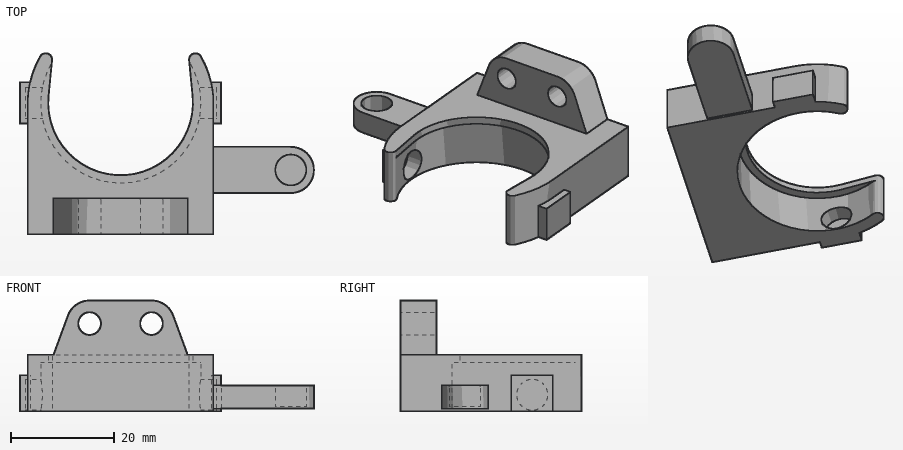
import cadquery as cq
import math

body_width = 36.0
body_height = 11.0
half_width = body_width / 2

bore_center_y = 25.5
lip_radius = 14.0
recess_radius = 15.5
lip_thickness = 1.5
recess_height = body_height - lip_thickness

arm_outer_radius = half_width
tip_angle = math.radians(30)
tip_radius = (arm_outer_radius - recess_radius) / 2
tip_distance = recess_radius + tip_radius

plate_thickness = 7.0
plate_height = 21.5
plate_base_half_width = 13.0
plate_corner_radius = 4.5
plate_hole_diameter = 4.35
plate_hole_x = 6.0
plate_hole_z = plate_height - plate_corner_radius

pocket_diameter = 6.0

pad_length = 8.0
pad_height = 7.0
pad_projection = 1.5
pad_outer_x = half_width + pad_projection
pad_pocket_depth = 3.0
pad_pocket_center_z = 3.25

lug_width = 9.0
lug_thickness = 4.5
lug_bottom_z = 0.5
lug_center_x = half_width + 15.0
lug_center_y = 12.5
lug_pocket_depth = 4.0


def polar(center, radius, angle):
    return (center[0] + radius * math.cos(angle), center[1] + radius * math.sin(angle))


def mirrored(point):
    return (-point[0], point[1])


def clip_layer(inner_radius, bottom_z, thickness):
    """Body outline with a bore of the given radius, joined tangentially to the arm tips."""
    bore_center = (0, bore_center_y)
    tip_center = polar(bore_center, tip_distance, tip_angle)
    wall_angle = tip_angle - math.acos((inner_radius + tip_radius) / tip_distance)
    bore_end = polar(bore_center, inner_radius, wall_angle)
    tip_inner = polar(tip_center, tip_radius, wall_angle + math.pi)
    tip_outer = polar(tip_center, tip_radius, tip_angle)
    tip_middle = polar(tip_center, tip_radius, (wall_angle + math.pi + tip_angle) / 2)
    arm_start = (half_width, bore_center_y)
    arm_middle = polar(bore_center, arm_outer_radius, tip_angle / 2)
    bore_bottom = (0, bore_center_y - inner_radius)
    has_straight_wall = inner_radius < recess_radius

    outline = (
        cq.Workplane("XY", origin=(0, 0, bottom_z))
        .moveTo(-half_width, 0)
        .lineTo(half_width, 0)
        .lineTo(*arm_start)
        .threePointArc(arm_middle, tip_outer)
        .threePointArc(tip_middle, tip_inner)
    )
    if has_straight_wall:
        outline = outline.lineTo(*bore_end)
    outline = outline.threePointArc(bore_bottom, mirrored(bore_end))
    if has_straight_wall:
        outline = outline.lineTo(*mirrored(tip_inner))
    return (
        outline.threePointArc(mirrored(tip_middle), mirrored(tip_outer))
        .threePointArc(mirrored(arm_middle), mirrored(arm_start))
        .close()
        .extrude(thickness)
    )


def mounting_plate():
    """Plate with sloped sides tangent to rounded corners, and a hole at each corner center."""
    corner_center = (plate_hole_x, plate_hole_z)
    base_dx = plate_base_half_width - plate_hole_x
    base_dz = body_height - plate_hole_z
    base_distance = math.hypot(base_dx, base_dz)
    slope_angle = math.atan2(base_dz, base_dx) + math.acos(plate_corner_radius / base_distance)
    slope_top = polar(corner_center, plate_corner_radius, slope_angle)
    corner_middle = polar(corner_center, plate_corner_radius, (slope_angle + math.pi / 2) / 2)
    corner_top = (plate_hole_x, plate_height)
    base_corner = (plate_base_half_width, body_height)

    plate = (
        cq.Workplane("XZ")
        .moveTo(*mirrored(base_corner))
        .lineTo(*base_corner)
        .lineTo(*slope_top)
        .threePointArc(corner_middle, corner_top)
        .lineTo(*mirrored(corner_top))
        .threePointArc(mirrored(corner_middle), mirrored(slope_top))
        .close()
        .extrude(-plate_thickness)
    )
    holes = (
        cq.Workplane("XZ")
        .pushPoints([(plate_hole_x, plate_hole_z), (-plate_hole_x, plate_hole_z)])
        .circle(plate_hole_diameter / 2)
        .extrude(-plate_thickness)
    )
    return plate.cut(holes)


def pad_pair():
    """One bar across both arms, cleared by the recess so that only the two pads remain."""
    bar = cq.Workplane("XY", origin=(0, bore_center_y, 0)).box(
        2 * pad_outer_x, pad_length, pad_height, centered=(True, True, False)
    )
    clearance = cq.Workplane("XY", origin=(0, bore_center_y, 0)).circle(recess_radius).extrude(pad_height)
    return bar.cut(clearance)


def pad_pockets():
    """Coaxial pockets running outward from the recess, with flat floors inside the pads."""
    reach = recess_radius + pad_pocket_depth
    return (
        cq.Workplane("YZ", origin=(-reach, bore_center_y, pad_pocket_center_z))
        .circle(pocket_diameter / 2)
        .extrude(2 * reach)
    )


def lug():
    """Round-ended arm on the +X side, with a pocket concentric to its end."""
    length = lug_center_x - half_width
    bar = cq.Workplane("XY", origin=(half_width, lug_center_y, lug_bottom_z)).box(
        length, lug_width, lug_thickness, centered=(False, True, False)
    )
    end = (
        cq.Workplane("XY", origin=(lug_center_x, lug_center_y, lug_bottom_z))
        .circle(lug_width / 2)
        .extrude(lug_thickness)
    )
    pocket = (
        cq.Workplane("XY", origin=(lug_center_x, lug_center_y, lug_bottom_z + lug_thickness))
        .circle(pocket_diameter / 2)
        .extrude(-lug_pocket_depth)
    )
    return bar.union(end).cut(pocket)


result = (
    clip_layer(recess_radius, 0, recess_height)
    .union(clip_layer(lip_radius, recess_height, lip_thickness))
    .union(mounting_plate())
    .union(pad_pair())
    .cut(pad_pockets())
    .union(lug())
    .clean()
)